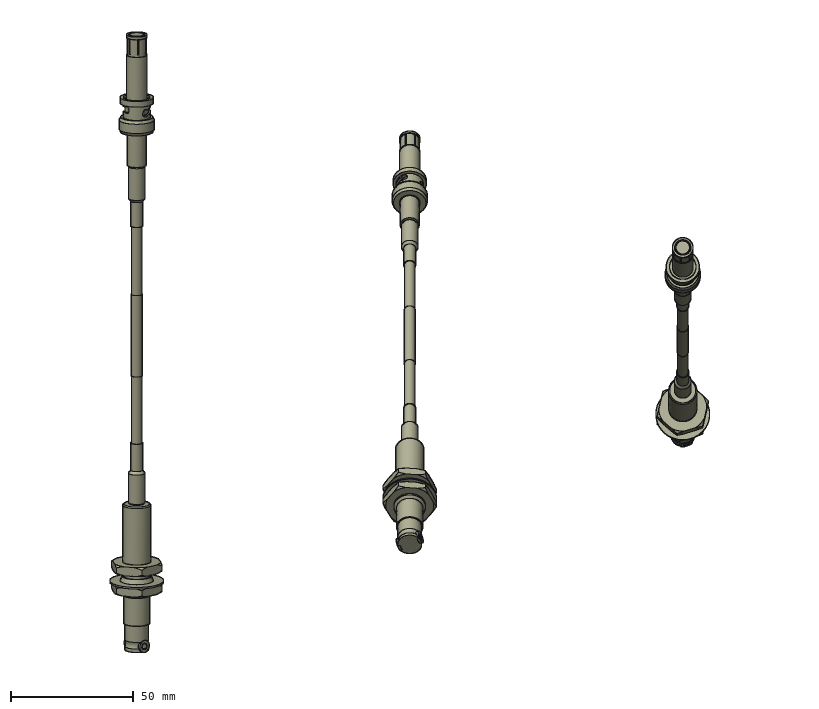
import cadquery as cq
import math


total_height = 260.1
jack_nose_bottom = 0.3
jack_step_z = 11.5
hex_collar_bottom = 25.0
hex_collar_top = 28.8
washer_disc_top = 29.5
washer_hub_top = 31.4
nut_bottom = 33.7
nut_top = 37.5
jack_top = 61.9
jack_ferrule_waist_z = 75.5
jack_ferrule_top = 87.6
marker_bottom = 116.0
marker_top = 150.4
plug_ferrule_bottom = 179.2
plug_ferrule_waist_z = 190.3
plug_bottom = 204.9
ring_bottom = 219.0
ring_grip_top = 225.3
ring_flange_bottom = 231.2
ring_top = 233.6
plug_shoulder_z = 251.5
plug_lip_bottom = 258.9

cable_radius = 2.2
marker_radius = 2.3
ferrule_crimp_radius = 2.5
ferrule_body_radius = 3.45
ferrule_cone_height = 1.2
ferrule_end_chamfer = 0.6

plug_tail_radius = 3.9
plug_body_radius = 4.25
plug_neck_radius = 3.9
plug_lip_radius = 4.25
plug_bore_radius = 3.3
plug_core_radius = 2.8
contact_slot_count = 6
contact_slot_width = 0.5
contact_slot_bottom = 252.4
contact_slot_turn = 30.0

ring_flange_radius = 6.8
ring_drum_radius = 5.6
ring_grip_radius = 7.2
ring_chamfer_inset = 0.6
ring_chamfer_height = 1.2
ring_recess_radius = 5.4
ring_recess_depth = 1.0
bayonet_slot_height = 2.2
bayonet_slot_z = 228.6
bayonet_slot_depth = 0.8
bayonet_slot_middle = 225.0
bayonet_slot_sweep = 90.0
bayonet_slot_tilt = 10.0
bayonet_slot_count = 2
bayonet_detent_radius = 1.5

jack_barrel_radius = 5.8
jack_barrel_chamfer = 0.5
jack_thread_radius = 5.4
jack_tail_radius = 5.4
jack_nose_radius = 4.9
collar_boss_radius = 6.5
collar_boss_height = 1.7
collar_boss_cone_height = 0.9
nose_groove_z = 3.2
nose_groove_height = 2.8
nose_groove_depth = 0.3
lug_radius = 2.6
lug_root_x = 3.9
lug_face_x = 4.95
lug_hole_radius = 1.3
lug_hole_depth = 0.5

hex_corner_radius = 11.0
hex_chamfer_height = 0.8
hex_chamfer_inset = 1.2
nut_face_radius = 6.0
nut_face_height = 0.7
washer_radius = 11.0
washer_hub_radius = 6.8
washer_hub_top_radius = 6.0


def turned(points):
    """Solid of revolution about Z from a closed outline of (radius, height) points."""
    return cq.Workplane("XZ").polyline(points).close().revolve(360, (0, 0, 0), (0, 1, 0))


def cylinder(radius, bottom, top):
    return cq.Workplane("XY").workplane(offset=bottom).circle(radius).extrude(top - bottom)


def hexagon(bottom, top):
    """Hexagonal prism with its corners on the Y axis and both rims turned to a chamfer."""
    prism = (
        cq.Workplane("XY")
        .workplane(offset=bottom)
        .transformed(rotate=(0, 0, 90))
        .polygon(6, 2 * hex_corner_radius)
        .extrude(top - bottom)
    )
    rim_radius = hex_corner_radius - hex_chamfer_inset
    waist_radius = rim_radius + hex_chamfer_inset / hex_chamfer_height * (top - bottom) / 2
    envelope = turned([
        (0, bottom),
        (rim_radius, bottom),
        (waist_radius, (bottom + top) / 2),
        (rim_radius, top),
        (0, top),
    ])
    return prism.intersect(envelope)


def make_cable():
    return cylinder(cable_radius, jack_top, plug_bottom)


def make_marker():
    return cylinder(marker_radius, marker_bottom, marker_top)


def make_ferrule(end_z, waist_z, crimp_z):
    """Stepped sleeve from the connector face end_z, over its waist, to the cable end crimp_z."""
    toward_cable = math.copysign(1, crimp_z - end_z)
    outline = [
        (0, end_z),
        (ferrule_body_radius - ferrule_end_chamfer, end_z),
        (ferrule_body_radius, end_z + toward_cable * ferrule_end_chamfer),
        (ferrule_body_radius, waist_z - toward_cable * ferrule_cone_height / 2),
        (ferrule_crimp_radius, waist_z + toward_cable * ferrule_cone_height / 2),
        (ferrule_crimp_radius, crimp_z),
        (0, crimp_z),
    ]
    return turned(outline)


def make_plug():
    body = turned([
        (0, plug_bottom),
        (plug_tail_radius, plug_bottom),
        (plug_tail_radius, ring_bottom),
        (plug_body_radius, ring_bottom),
        (plug_body_radius, plug_shoulder_z),
        (plug_neck_radius, plug_shoulder_z),
        (plug_neck_radius, plug_lip_bottom),
        (plug_lip_radius, plug_lip_bottom),
        (plug_lip_radius, total_height),
        (0, total_height),
    ])
    core = cylinder(plug_core_radius, contact_slot_bottom, total_height)
    gap = cylinder(plug_bore_radius, contact_slot_bottom, total_height).cut(core)
    slot = cq.Workplane("XY").box(
        2 * plug_lip_radius, contact_slot_width, plug_lip_bottom - contact_slot_bottom,
        centered=(True, True, False),
    ).translate((0, 0, contact_slot_bottom)).cut(core)
    body = body.cut(gap)
    for index in range(contact_slot_count // 2):
        angle = contact_slot_turn + 360 / contact_slot_count * index
        body = body.cut(slot.rotate((0, 0, 0), (0, 0, 1), angle))
    return body


def bayonet_slot():
    """Tilted arc groove of the coupling ring, centred on +X, with a round detent at each end."""
    floor = ring_drum_radius - bayonet_slot_depth
    half_height = bayonet_slot_height / 2
    arc = turned([
        (floor, -half_height),
        (ring_flange_radius, -half_height),
        (ring_flange_radius, half_height),
        (floor, half_height),
    ])
    half_sweep = math.radians(bayonet_slot_sweep / 2)
    reach = 2 * ring_flange_radius
    sector = (
        cq.Workplane("XY")
        .workplane(offset=-half_height)
        .polyline([
            (0, 0),
            (reach * math.cos(half_sweep), -reach * math.sin(half_sweep)),
            (reach * math.cos(half_sweep), reach * math.sin(half_sweep)),
        ])
        .close()
        .extrude(bayonet_slot_height)
    )
    detent = (
        cq.Workplane("YZ")
        .workplane(offset=floor)
        .circle(bayonet_detent_radius)
        .extrude(ring_flange_radius - floor)
    )
    groove = arc.intersect(sector)
    for side in (-1, 1):
        groove = groove.union(detent.rotate((0, 0, 0), (0, 0, 1), side * bayonet_slot_sweep / 2))
    return groove.rotate((0, 0, 0), (1, 0, 0), bayonet_slot_tilt).translate((0, 0, bayonet_slot_z))


def make_coupling_ring():
    rim = ring_grip_radius - ring_chamfer_inset
    ring = turned([
        (0, ring_bottom),
        (rim, ring_bottom),
        (ring_grip_radius, ring_bottom + ring_chamfer_height),
        (ring_grip_radius, ring_grip_top - ring_chamfer_height),
        (rim, ring_grip_top),
        (ring_drum_radius, ring_grip_top),
        (ring_drum_radius, ring_flange_bottom),
        (ring_flange_radius, ring_flange_bottom),
        (ring_flange_radius, ring_top),
        (0, ring_top),
    ])
    for index in range(bayonet_slot_count):
        angle = bayonet_slot_middle + 360 / bayonet_slot_count * index
        ring = ring.cut(bayonet_slot().rotate((0, 0, 0), (0, 0, 1), angle))
    recess = cylinder(ring_recess_radius, ring_top - ring_recess_depth, ring_top)
    return ring.cut(recess).cut(make_plug())


def lug():
    """Round boss on the +X side of the jack nose, dished at its face."""
    return (
        cq.Workplane("YZ", origin=(lug_root_x, 0, lug_radius))
        .circle(lug_radius)
        .extrude(lug_face_x - lug_root_x)
        .faces(">X")
        .workplane()
        .hole(2 * lug_hole_radius, lug_hole_depth)
    )


def make_jack():
    body = turned([
        (0, jack_nose_bottom),
        (jack_nose_radius, jack_nose_bottom),
        (jack_nose_radius, jack_step_z),
        (jack_tail_radius, jack_step_z),
        (jack_tail_radius, hex_collar_bottom - collar_boss_height),
        (collar_boss_radius, hex_collar_bottom - collar_boss_height + collar_boss_cone_height),
        (collar_boss_radius, hex_collar_bottom),
        (jack_thread_radius, hex_collar_bottom),
        (jack_thread_radius, nut_top),
        (jack_barrel_radius, nut_top),
        (jack_barrel_radius, jack_top - jack_barrel_chamfer),
        (jack_barrel_radius - jack_barrel_chamfer, jack_top),
        (0, jack_top),
    ]).union(hexagon(hex_collar_bottom, hex_collar_top))
    groove_bottom = nose_groove_z - nose_groove_height / 2
    groove_top = nose_groove_z + nose_groove_height / 2
    groove = (
        cq.Workplane("XZ")
        .moveTo(jack_nose_radius, groove_bottom)
        .threePointArc(
            (jack_nose_radius - nose_groove_depth, nose_groove_z),
            (jack_nose_radius, groove_top),
        )
        .close()
        .revolve(360, (0, 0, 0), (0, 1, 0))
    )
    body = body.cut(groove)
    for angle in (0, 180):
        body = body.union(lug().rotate((0, 0, 0), (0, 0, 1), angle))
    return body


def make_nut():
    face_bottom = nut_bottom - nut_face_height
    body = hexagon(nut_bottom, nut_top).union(cylinder(nut_face_radius, face_bottom, nut_bottom))
    return body.cut(cylinder(jack_thread_radius, face_bottom, nut_top))


def make_washer():
    return turned([
        (jack_thread_radius, hex_collar_top),
        (washer_radius, hex_collar_top),
        (washer_radius, washer_disc_top),
        (washer_hub_radius, washer_disc_top),
        (washer_hub_top_radius, washer_hub_top),
        (jack_thread_radius, washer_hub_top),
    ])


cable = make_cable()
marker = make_marker().cut(cable)
plug_ferrule = make_ferrule(plug_bottom, plug_ferrule_waist_z, plug_ferrule_bottom).cut(cable)
jack_ferrule = make_ferrule(jack_top, jack_ferrule_waist_z, jack_ferrule_top).cut(cable)
plug = make_plug()
coupling_ring = make_coupling_ring()
jack = make_jack()
nut = make_nut()
washer = make_washer()
bodies = [cable, marker, plug_ferrule, jack_ferrule, plug, coupling_ring, jack, nut, washer]
result = cq.Compound.makeCompound([body.val() for body in bodies])